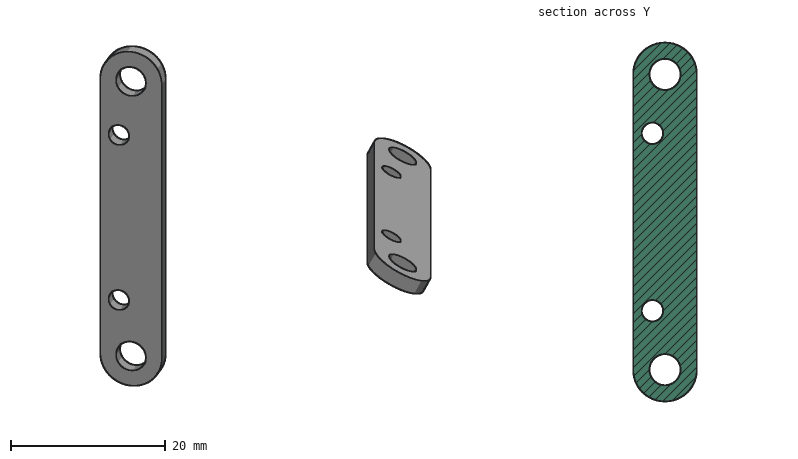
import cadquery as cq

length = 46.6
width = 8.3
thickness = 2.05

end_hole_diameter = 4.0
end_hole_spacing = length - width

small_hole_diameter = 2.75
small_hole_spacing = 23.0
small_hole_offset = 1.65

back_plane = cq.Workplane("XZ", origin=(0, thickness / 2, 0))


def drill_pair(plate, diameter, spacing, x):
    """Drill two through holes at x, placed symmetrically along Z."""
    centers = [(x, -spacing / 2), (x, spacing / 2)]
    cutters = back_plane.pushPoints(centers).circle(diameter / 2).extrude(thickness)
    return plate.cut(cutters)


plate = back_plane.slot2D(length, width, angle=90).extrude(thickness)

plate = drill_pair(plate, end_hole_diameter, end_hole_spacing, 0)
result = drill_pair(plate, small_hole_diameter, small_hole_spacing, -small_hole_offset)